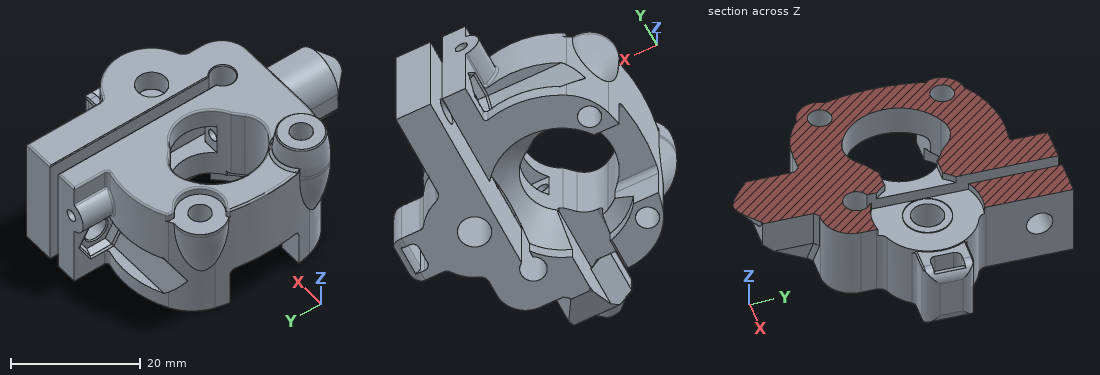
import cadquery as cq
import math


body_height = 20.95
body_radius = 17.1
left_x = -14.05
left_side_radius = 35.25
left_corner_radius = 9.35
front_y = -16.4
front_blend_radius = 10.35
right_x = 17.05
right_corner_radius = 5.05
back_y = 23.0
edge_round = 0.3

arm_left_x = 5.0
arm_corner_round = 0.5
slot_left_x = 9.0
slot_right_x = 11.05
slot_end_x = 9.9
slot_end_y = -9.9
slot_end_radius = 2.1
slot_chamfer = 0.15

bore_left_radius = 8.9
bore_right_radius = 6.55
lobe_left_x = -4.05
lobe_top = (-1.85, 8.55)
lobe_right = (1.1, 7.45)
lobe_line_end_x = 2.75

recess_radius = 11.3
recess_depth = 2.5
cone_height = 4.15

opening_height = 7.4
opening_round = 1.0
opening_foot_chamfer = 0.35
opening_inner_reach = recess_radius / 2
left_opening_width = 13.5
front_opening_left_x = -2.85
front_opening_right_x = 3.6

ear_x = 15.1
ear_radius = 8.0
ear_blend = 1.55
ear_hole_radius = 2.65
pocket_bottom = 11.3
pocket_top = 17.2
pocket_radius = 8.8
pocket_width = 9.35
washer_radius = 3.9
washer_height = 0.15

tab_right_x = 27.95
tab_width = 8.2
tab_height = 11.1
tab_round = 2.25
tab_blend = 0.95
tab_chamfer = 0.25
tab_slot_left_x = 24.0
tab_bar_left_x = 25.7
tab_slot_width = 5.05
tab_slot_round = 1.05
bar_round = 1.6
bar_drop = 0.6

boss_x = -9.9
boss_y = 9.9
boss_radius = 4.55
boss_hole_radius = 1.85
boss_top_radius = 4.0
boss_edge_chamfer = 0.2
tall_boss_mid = (4.4, 22.45)
tall_boss_height = 25.0
low_boss_height = 19.5
boss_bulge_top = low_boss_height
boss_bulge_bottom = 18.85
boss_taper_radius = 24.35
boss_foot_height = 5.2
boss_seat_radius = 4.0
boss_seat_right_x = -8.25
boss_seat_corner = 0.5
boss_collar = 0.45

overall_length = 51.85
filament_x = 5.7
filament_z = 14.3
filament_radius = 1.05
spout_radius = 5.05
spout_tip_radius = 1.55
spout_tip_y = back_y - overall_length
spout_shoulder_y = spout_tip_y + spout_radius - spout_tip_radius
spout_flange = 0.7
rib_left_shoulder_z = 11.1
rib_left_foot_z = 6.7
rib_foot_right_x = 7.15
rib_right_shoulder_z = 6.3
rib_slope_top_z = 8.1
guide_radius = 3.0
guide_blend = 0.3

screw_y = 17.5
screw_z = 6.85
screw_radius = 2.1
screw_rim = 0.2
nut_mouth_flats = 7.85
nut_flats = 7.25
nut_floor_flats = 6.25
nut_depth = 1.55
nut_chamfer = 0.3


def box(x0, x1, y0, y1, z0, z1):
    """Block between the given limits."""
    return cq.Workplane("XY").box(x1 - x0, y1 - y0, z1 - z0, centered=False).translate((x0, y0, z0))


def cylinder(x, y, radius, z0, z1):
    """Upright cylinder between two heights."""
    return cq.Workplane("XY", origin=(x, y, z0)).circle(radius).extrude(z1 - z0)


def along_y(radius, y0, y1):
    """Cylinder on the filament axis between two Y positions."""
    plane = cq.Workplane("XZ", origin=(filament_x, y1, filament_z))
    return plane.circle(radius).extrude(y1 - y0)


def mirrored(point):
    """Point reflected to the other side of the X axis."""
    return (point[0], -point[1])


def on_circle(radius, x):
    """Point at the given X on the positive-Y half of a circle about the bore axis."""
    return (x, math.sqrt(radius**2 - x**2))


def round_body(height):
    """Disc with a flatter left side and a flat front, its corners blended."""
    disc = cylinder(0, 0, body_radius, 0, height)
    disc = disc.intersect(cylinder(left_x + left_side_radius, 0, left_side_radius, 0, height))
    disc = disc.edges("|Z").fillet(left_corner_radius)
    disc = disc.intersect(box(-body_radius, body_radius, front_y, body_radius, 0, height))
    return disc.edges("|Z and <Y").edges("<X").fillet(front_blend_radius)


def body_block():
    """Round body with its square right side, clamp arms, idler ear and the seat of the low boss."""
    front_block = box(0, right_x, front_y, body_radius / 2, 0, body_height)
    front_block = front_block.edges("|Z and >X and <Y").fillet(right_corner_radius)
    block = round_body(body_height).union(front_block)
    block = block.union(box(arm_left_x, right_x, 0, back_y, 0, body_height))
    arm_root = cq.selectors.NearestToPointSelector((arm_left_x, body_radius, body_height / 2))
    block = block.edges("|Z").edges(arm_root).fillet(arm_corner_round)
    block = block.union(cylinder(ear_x, 0, ear_radius, 0, body_height))
    ear_join_y = math.sqrt(ear_radius**2 - (right_x - ear_x) ** 2)
    for y in (-ear_join_y, ear_join_y):
        corner = cq.selectors.NearestToPointSelector((right_x, y, body_height / 2))
        block = block.edges(corner).fillet(ear_blend)
    block = block.cut(cylinder(boss_x, boss_y, boss_seat_radius, low_boss_height, body_height))
    block = block.cut(box(left_x, boss_seat_right_x, boss_y, body_radius, low_boss_height, body_height))
    seat_corners = cq.selectors.BoxSelector(
        (left_x, 0, low_boss_height),
        (boss_seat_right_x + boss_seat_corner, body_radius, body_height),
    )
    return block.edges("|Z").edges(seat_corners).fillet(boss_seat_corner)


def bore():
    """Through bore made of two concentric arcs and two lobes."""
    lobe_left = on_circle(bore_left_radius, lobe_left_x)
    lobe_line_end = on_circle(bore_right_radius, lobe_line_end_x)
    return (
        cq.Workplane("XY")
        .moveTo(*lobe_left)
        .threePointArc(lobe_top, lobe_right)
        .lineTo(*lobe_line_end)
        .threePointArc((bore_right_radius, 0), mirrored(lobe_line_end))
        .lineTo(*mirrored(lobe_right))
        .threePointArc(mirrored(lobe_top), mirrored(lobe_left))
        .threePointArc((-bore_left_radius, 0), lobe_left)
        .close()
        .extrude(body_height)
    )


def clamp_slot():
    """Slot and hinge hole, with the top edge broken by a small chamfer."""
    middle_x = (slot_left_x + slot_right_x) / 2
    slot = box(slot_left_x, slot_right_x, slot_end_y, back_y, 0, body_height)
    hinge_hole = cylinder(slot_end_x, slot_end_y, slot_end_radius, 0, body_height)
    half_width = (slot_right_x - slot_left_x) / 2 + slot_chamfer
    chamfer = (
        cq.Workplane("XZ", origin=(middle_x, back_y, body_height))
        .polyline([(-half_width, 0), (half_width, 0), (0, -half_width)])
        .close()
        .extrude(back_y - slot_end_y)
    )
    rim = cq.Solid.makeCone(
        slot_end_radius,
        slot_end_radius + slot_chamfer,
        slot_chamfer,
        cq.Vector(slot_end_x, slot_end_y, body_height - slot_chamfer),
    )
    return slot.union(hinge_hole).union(chamfer).union(cq.Workplane(rim))


def motor_recess():
    """Round recess and cone under the bore, ending at the far wall of the clamp slot."""
    recess = cylinder(0, 0, recess_radius, 0, recess_depth)
    cone = cq.Solid.makeCone(recess_radius, bore_right_radius, cone_height, cq.Vector(0, 0, recess_depth))
    recess = recess.union(cq.Workplane(cone))
    return recess.intersect(box(-recess_radius, slot_right_x, -recess_radius, recess_radius, 0, body_height))


def skirt_openings():
    """Openings through the left and front of the skirt into the recess."""
    half_width = left_opening_width / 2
    left = box(-body_radius, -opening_inner_reach, -half_width, half_width, 0, opening_height)
    left = left.edges("|X and >Z").fillet(opening_round)
    front = box(
        front_opening_left_x,
        front_opening_right_x,
        front_y - spout_flange,
        -opening_inner_reach,
        0,
        opening_height,
    )
    front = front.edges("|Y and >Z and <X").fillet(opening_round)
    foot_chamfer = (
        cq.Workplane("XZ", origin=(0, -opening_inner_reach, 0))
        .moveTo(front_opening_left_x - opening_foot_chamfer, 0)
        .lineTo(front_opening_left_x, opening_foot_chamfer)
        .lineTo(front_opening_left_x, 0)
        .close()
        .extrude(-opening_inner_reach - front_y)
    )
    return left.union(front).union(foot_chamfer)


def roller_pocket():
    """Pocket for the idler roller, opening into the bore and to the right."""
    half_width = pocket_width / 2
    pocket = cylinder(ear_x, 0, pocket_radius, pocket_bottom, pocket_top)
    pocket = pocket.union(box(0, ear_x, -half_width, half_width, pocket_bottom, pocket_top))
    for z in (pocket_bottom, pocket_top - washer_height):
        pocket = pocket.cut(cylinder(ear_x, 0, washer_radius, z, z + washer_height))
    return pocket


def loop_tab():
    """Tab rounded in plan and in elevation, with a slot whose outer bar is rounded on its inner top."""
    half_width = tab_width / 2
    half_slot = tab_slot_width / 2
    plan = box(ear_x, tab_right_x, -half_width, half_width, 0, tab_height)
    plan = plan.edges("|Z and >X").fillet(tab_round).faces(">Z").edges("not <X").chamfer(tab_chamfer)
    elevation = box(ear_x, tab_right_x, -half_width, half_width, 0, tab_height)
    elevation = elevation.edges("|Y and >X").fillet(tab_round)
    slot = box(tab_slot_left_x, tab_right_x, -half_slot, half_slot, 0, tab_height)
    slot = slot.edges("|Z and <X").fillet(tab_slot_round)
    bar = box(tab_bar_left_x, tab_right_x, -half_slot, half_slot, 0, tab_height - bar_drop)
    bar = bar.edges("|Y and <X").fillet(bar_round)
    return plan.intersect(elevation).cut(slot.cut(bar))


def boss(y, height):
    """Screw boss: straight band, with an arc taper below it and, on a tall boss, above it."""
    foot_drop = boss_bulge_bottom - boss_foot_height

    def tapered(drop):
        return boss_radius - boss_taper_radius + math.sqrt(boss_taper_radius**2 - drop**2)

    taper_mid = (tapered(foot_drop / 2), boss_bulge_bottom - foot_drop / 2)
    profile = (
        cq.Workplane("XZ", origin=(boss_x, y, 0))
        .moveTo(0, boss_foot_height)
        .lineTo(tapered(foot_drop), boss_foot_height)
        .threePointArc(taper_mid, (boss_radius, boss_bulge_bottom))
        .lineTo(boss_radius, boss_bulge_top)
    )
    if height > boss_bulge_top:
        profile = profile.threePointArc(tall_boss_mid, (boss_top_radius, height - boss_edge_chamfer))
        profile = profile.lineTo(boss_top_radius - boss_edge_chamfer, height)
    return profile.lineTo(0, height).close().revolve(360, (0, 0, 0), (0, 1, 0))


def boss_collar_ring():
    """Sloping collar where the tall boss rises from the top of the body."""
    collar = cq.Solid.makeCone(
        boss_radius + boss_collar, boss_radius, boss_collar, cq.Vector(boss_x, -boss_y, body_height)
    )
    return cq.Workplane(collar).intersect(round_body(body_height + boss_collar))


def spout():
    """Horizontal spout with a conical tip, carried by a rib that is cut off at 45 degrees."""
    left = filament_x - spout_radius
    right = filament_x + spout_radius

    def section(y):
        return (
            cq.Workplane("XZ", origin=(0, y, 0))
            .moveTo(left, filament_z)
            .threePointArc((filament_x, filament_z + spout_radius), (right, filament_z))
            .lineTo(right, rib_right_shoulder_z)
            .lineTo(rib_foot_right_x, 0)
            .lineTo(front_opening_right_x + opening_foot_chamfer, 0)
            .lineTo(front_opening_right_x, opening_foot_chamfer)
            .lineTo(front_opening_right_x, rib_left_foot_z)
            .lineTo(left, rib_left_shoulder_z)
            .close()
        )

    barrel = section(-recess_radius).extrude(-recess_radius - spout_shoulder_y)
    flange = section(front_y - spout_flange).extrude(-spout_flange, taper=-45)
    below = box(left - spout_radius, right + spout_radius, spout_tip_y, 0, -spout_radius, 0)
    slope = (
        cq.Workplane("YZ")
        .moveTo(spout_shoulder_y, rib_slope_top_z)
        .lineTo(spout_shoulder_y + rib_slope_top_z, 0)
        .lineTo(spout_shoulder_y, 0)
        .close()
        .extrude(right_x)
    )
    tip = cq.Solid.makeCone(
        spout_radius,
        spout_tip_radius,
        spout_shoulder_y - spout_tip_y,
        cq.Vector(filament_x, spout_shoulder_y, filament_z),
        cq.Vector(0, -1, 0),
    )
    return barrel.union(flange).cut(below).cut(slope).union(cq.Workplane(tip))


def nut_pocket():
    """Hexagonal pocket with flared mouth, open to the left, and the clamp screw hole through both arms."""

    def hexagon(x, flats):
        plane = cq.Workplane("YZ", origin=(x, screw_y, screw_z))
        return plane.polygon(6, flats / math.cos(math.pi / 6))

    def tapered(x0, flats0, x1, flats1):
        start = hexagon(x0, flats0).wires().val()
        end = hexagon(x1, flats1).wires().val()
        return cq.Workplane(cq.Solid.makeLoft([start, end], True))

    seat_x = arm_left_x + nut_chamfer
    floor_x = arm_left_x + nut_depth
    mouth = hexagon(left_x, nut_mouth_flats).extrude(arm_left_x - left_x)
    flare = tapered(arm_left_x, nut_mouth_flats, seat_x, nut_flats)
    pocket = tapered(seat_x, nut_flats, floor_x, nut_floor_flats)
    hole = cq.Workplane("YZ", origin=(left_x, screw_y, screw_z)).circle(screw_radius)
    rim = cq.Solid.makeCone(
        screw_radius + screw_rim,
        screw_radius,
        screw_rim,
        cq.Vector(floor_x, screw_y, screw_z),
        cq.Vector(1, 0, 0),
    )
    pocket = pocket.union(cq.Workplane(rim))
    return pocket.union(mouth).union(flare).union(hole.extrude(right_x - left_x))


body = body_block().cut(bore()).faces(">Z").edges().fillet(edge_round)

body = body.union(along_y(guide_radius, 0, back_y).cut(bore()))
guide_edges = cq.selectors.BoxSelector(
    (arm_left_x - guide_blend, body_radius, filament_z - guide_radius),
    (arm_left_x + guide_blend, back_y, filament_z + guide_radius),
)
body = body.edges("|Y").edges(guide_edges).fillet(guide_blend)

body = body.union(loop_tab()).union(spout())
tab_root_x = ear_x + math.sqrt(ear_radius**2 - (tab_width / 2) ** 2)
for y in (-tab_width / 2, tab_width / 2):
    tab_root = cq.selectors.NearestToPointSelector((tab_root_x, y, tab_height / 2))
    body = body.edges("|Z").edges(tab_root).fillet(tab_blend)

body = body.cut(motor_recess()).cut(skirt_openings()).cut(roller_pocket()).cut(clamp_slot())
body = body.cut(nut_pocket())
body = body.cut(cylinder(ear_x, 0, ear_hole_radius, 0, body_height))
body = body.cut(along_y(filament_radius, spout_tip_y, back_y))

bosses = boss(boss_y, low_boss_height).union(boss(-boss_y, tall_boss_height)).union(boss_collar_ring())
body = body.union(bosses.cut(bore()).cut(motor_recess()))
for y in (boss_y, -boss_y):
    body = body.cut(cylinder(boss_x, y, boss_hole_radius, 0, tall_boss_height))

result = body